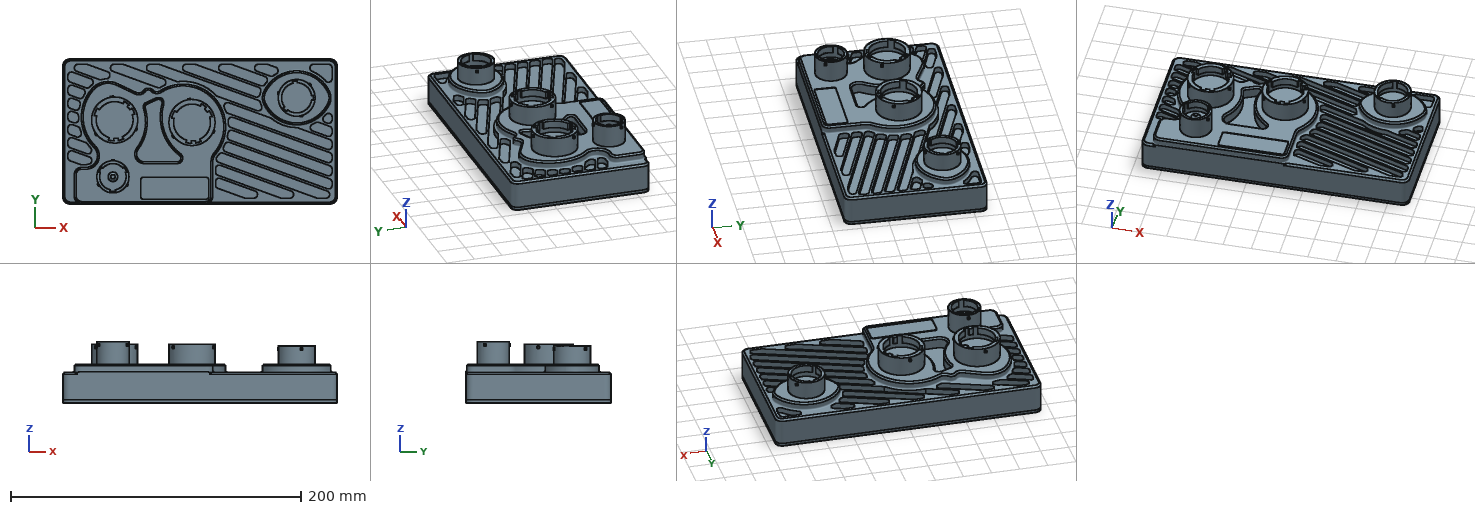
import cadquery as cq
import math

LENGTH = 189.0
WIDTH = 100.0
CORNER_RADIUS = 5.0
PLATE_THICKNESS = 2.4
PLATE_CHAMFER = 0.5
DECK_Z = 21.5
DECK_CHAMFER = 1.4
FRONT_Y = -WIDTH / 2
EDGE_SLACK = 0.1

PAD_HEIGHT = 5.5
PAD_Z = DECK_Z + PAD_HEIGHT
PAD_CHAMFER = 1.25
FOOT_RADIUS = 1.1
FOOT_MARGIN = 0.1
FOOT_REACH = FOOT_RADIUS + FOOT_MARGIN

PAD_LEFT = -86.6
PAD_RIGHT = 8.8
PAD_FRONT_INSET = 0.5
PAD_FRONT = FRONT_Y + PAD_FRONT_INSET
PAD_SHOULDER_Y = -24.7
PAD_CORNER_RADIUS = 5.0
LEFT_LOBE = (-52.4, 10.0)
LEFT_LOBE_RADIUS = 29.4
LEFT_CREST = (-63.3, 19.6)
RIGHT_LOBE = (-11.6, 3.4)
RIGHT_LOBE_RADIUS = 29.3
HOLLOW_RADIUS = 8.0
BUMP = (-35.6, 25.9)
BUMP_RADIUS = 4.0
DIP_RADIUS = 4.0
LEFT_DIP = (-42.2, 30.5)

OVAL_CENTER = (66.6, 23.2)
OVAL_HALF_WIDTH = 18.6
OVAL_HALF_LENGTH = 23.6
OVAL_NOSE_RADIUS = 10.0

WINDOW_FLOOR_Z = 19.0
WINDOW_CHAMFER = 1.2
WINDOW_FRONT_Y = -20.9
WINDOW_LEFT_ARC = ((-67.8, 6.7), 31.5)
WINDOW_RIGHT_ARC = ((5.7, 10.1), 33.1)
WINDOW_BACK_LEFT_Y = 18.0
WINDOW_BACK_RIGHT_Y = 24.5
WINDOW_CORNER_RADII = {"front left": 5.4, "front right": 2.5, "back right": 2.5, "back left": 2.0}

GROOVE_ANGLE = 20.0
GROOVE_PITCH = 8.5
RIB_WIDTH = 1.5
RIB_OFFSET = 9.75
GROOVE_DEPTH = 4.0
GROOVE_SIDE_MARGIN = 3.5
GROOVE_BACK_MARGIN = 3.7
GROOVE_FRONT_MARGIN = 4.1
GROOVE_PAD_GAP = 1.9
GROOVE_END_RADIUS = 2.5
FIRST_GROOVE = -7
LAST_GROOVE = 6
SMALLEST_GROOVE_AREA = 28.0

LABEL_LEFT = -40.8
LABEL_RIGHT = 5.9
LABEL_FRONT = -46.6
LABEL_BACK = -31.6
LABEL_CORNER_RADIUS = 1.5
LABEL_THICKNESS = 0.5

LIP_DEPTH = 5.0
CAVITY_DEPTH = 9.2
PIN_RADIUS = 0.9
PIN_DROP = 2.2
PIN_REACH = 0.7
PIN_ROOT = 1.0
PIN_COUNT = 3
LARGE_SOCKET = {
    "outer_radius": 15.9,
    "lip_radius": 12.7,
    "channel_radius": 14.4,
    "top": 40.8,
    "notches": [(146, 167), (253, 268), (280.5, 295), (17, 34), (47, 63)],
    "first_pin_angle": 97,
}
SMALL_SOCKET = {
    "outer_radius": 11.1,
    "lip_radius": 9.1,
    "channel_radius": 10.1,
    "top": 42.4,
    "notches": [(139, 161), (259, 281), (19, 41)],
    "first_pin_angle": 90,
}
OVAL_PAD_SOCKET = {
    "outer_radius": 12.7,
    "lip_radius": 10.4,
    "channel_radius": 11.6,
    "top": 39.6,
    "notches": [(88, 104), (217, 233), (-8, 8)],
    "first_pin_angle": 45,
}
SMALL_SOCKET_CENTER = (-60.0, -31.2)
SOCKETS = [
    ((-58.8, 7.9), LARGE_SOCKET),
    ((-5.5, 6.2), LARGE_SOCKET),
    (SMALL_SOCKET_CENTER, SMALL_SOCKET),
    (OVAL_CENTER, OVAL_PAD_SOCKET),
]

POST_RADIUS = 3.3
POST_HEIGHT = 5.0
POST_CHAMFER = 1.8


def polar(center, radius, degrees):
    angle = math.radians(degrees)
    return (center[0] + radius * math.cos(angle), center[1] + radius * math.sin(angle))


def toward(start, end, distance):
    """Point at a distance from start on the ray to end."""
    span = math.dist(start, end)
    return tuple(a + (b - a) * distance / span for a, b in zip(start, end))


def circles_meet(center_a, radius_a, center_b, radius_b):
    """Meeting point of two circles on the left of the line from a to b."""
    span = math.dist(center_a, center_b)
    along = (span**2 + radius_a**2 - radius_b**2) / (2 * span)
    across = math.sqrt(radius_a**2 - along**2)
    ux = (center_b[0] - center_a[0]) / span
    uy = (center_b[1] - center_a[1]) / span
    return (center_a[0] + along * ux - across * uy, center_a[1] + along * uy + across * ux)


def arc_to(sketch, center, start, end, clockwise):
    """Extend the sketch by the arc about center from start to end."""
    radius = math.dist(center, start)
    first = math.atan2(start[1] - center[1], start[0] - center[0])
    last = math.atan2(end[1] - center[1], end[0] - center[0])
    sweep = (first - last if clockwise else last - first) % (2 * math.pi)
    middle = first + (-sweep if clockwise else sweep) / 2
    return sketch.threePointArc(polar(center, radius, math.degrees(middle)), end)


def rounded_block(height, bottom):
    block = cq.Workplane().box(LENGTH, WIDTH, height, centered=(True, True, False))
    return block.edges("|Z").fillet(CORNER_RADIUS).translate((0, 0, bottom))


def main_pad_outline():
    """Closed outline, run clockwise from the left end of the front side."""
    corner = PAD_CORNER_RADIUS
    left_hollow_y = PAD_SHOULDER_Y + HOLLOW_RADIUS
    left_span = LEFT_LOBE_RADIUS + HOLLOW_RADIUS
    left_shift = math.sqrt(left_span**2 - (LEFT_LOBE[1] - left_hollow_y) ** 2)
    left_hollow = (LEFT_LOBE[0] - left_shift, left_hollow_y)

    crest_radius = LEFT_LOBE_RADIUS - math.dist(LEFT_LOBE, LEFT_CREST)
    run_tilt = math.degrees(math.acos((crest_radius + DIP_RADIUS) / math.dist(LEFT_CREST, LEFT_DIP)))
    run_heading = math.degrees(math.atan2(LEFT_DIP[1] - LEFT_CREST[1], LEFT_DIP[0] - LEFT_CREST[0]))
    run_normal = run_heading + run_tilt
    run_start = polar(LEFT_CREST, crest_radius, run_normal)
    run_end = polar(LEFT_DIP, -DIP_RADIUS, run_normal)

    right_dip = circles_meet(BUMP, BUMP_RADIUS + DIP_RADIUS, RIGHT_LOBE, RIGHT_LOBE_RADIUS + DIP_RADIUS)
    bump_start = toward(BUMP, LEFT_DIP, BUMP_RADIUS)
    bump_end = toward(BUMP, right_dip, BUMP_RADIUS)
    right_start = toward(RIGHT_LOBE, right_dip, RIGHT_LOBE_RADIUS)

    right_span = RIGHT_LOBE_RADIUS + HOLLOW_RADIUS
    right_hollow_x = PAD_RIGHT + HOLLOW_RADIUS
    right_drop = math.sqrt(right_span**2 - (right_hollow_x - RIGHT_LOBE[0]) ** 2)
    right_hollow = (right_hollow_x, RIGHT_LOBE[1] - right_drop)

    left_start = toward(LEFT_LOBE, left_hollow, LEFT_LOBE_RADIUS)
    left_end = toward(LEFT_LOBE, LEFT_CREST, LEFT_LOBE_RADIUS)
    right_end = toward(RIGHT_LOBE, right_hollow, RIGHT_LOBE_RADIUS)
    outline = (
        cq.Workplane()
        .moveTo(PAD_LEFT + corner, PAD_FRONT)
        .radiusArc((PAD_LEFT, PAD_FRONT + corner), corner)
        .lineTo(PAD_LEFT, PAD_SHOULDER_Y - corner)
        .radiusArc((PAD_LEFT + corner, PAD_SHOULDER_Y), corner)
        .lineTo(left_hollow[0], PAD_SHOULDER_Y)
    )
    outline = arc_to(outline, left_hollow, (left_hollow[0], PAD_SHOULDER_Y), left_start, clockwise=False)
    outline = arc_to(outline, LEFT_LOBE, left_start, left_end, clockwise=True)
    outline = arc_to(outline, LEFT_CREST, left_end, run_start, clockwise=True)
    outline = outline.lineTo(*run_end)
    outline = arc_to(outline, LEFT_DIP, run_end, bump_start, clockwise=False)
    outline = arc_to(outline, BUMP, bump_start, bump_end, clockwise=True)
    outline = arc_to(outline, right_dip, bump_end, right_start, clockwise=False)
    outline = arc_to(outline, RIGHT_LOBE, right_start, right_end, clockwise=True)
    outline = arc_to(outline, right_hollow, right_end, (PAD_RIGHT, right_hollow[1]), clockwise=False)
    return (
        outline.lineTo(PAD_RIGHT, PAD_FRONT + corner)
        .radiusArc((PAD_RIGHT - corner, PAD_FRONT), corner)
        .close()
    )


def oval_pad_outline():
    """Oval of two broad side arcs running tangent into two tighter nose arcs."""
    nose_offset = OVAL_HALF_LENGTH - OVAL_NOSE_RADIUS
    slack = OVAL_HALF_WIDTH - OVAL_NOSE_RADIUS
    side_radius = (nose_offset**2 + OVAL_HALF_WIDTH**2 - OVAL_NOSE_RADIUS**2) / (2 * slack)
    tilt = math.degrees(math.atan2(side_radius - OVAL_HALF_WIDTH, nose_offset))
    x, y = OVAL_CENTER
    right_nose = (x + nose_offset, y)
    left_nose = (x - nose_offset, y)
    return (
        cq.Workplane()
        .moveTo(*polar(left_nose, OVAL_NOSE_RADIUS, 180 - tilt))
        .threePointArc((x, y + OVAL_HALF_WIDTH), polar(right_nose, OVAL_NOSE_RADIUS, tilt))
        .threePointArc((x + OVAL_HALF_LENGTH, y), polar(right_nose, OVAL_NOSE_RADIUS, -tilt))
        .threePointArc((x, y - OVAL_HALF_WIDTH), polar(left_nose, OVAL_NOSE_RADIUS, tilt - 180))
        .threePointArc((x - OVAL_HALF_LENGTH, y), polar(left_nose, OVAL_NOSE_RADIUS, 180 - tilt))
        .close()
    )


def prism(outline, bottom, height, growth=0.0):
    """Solid standing on the outline drawn by the given function, grown outward all round."""
    shape = outline()
    if growth:
        shape = shape.offset2D(growth)
    return shape.extrude(height).translate((0, 0, bottom))


def window():
    def left_x(y):
        (cx, cy), radius = WINDOW_LEFT_ARC
        return cx + math.sqrt(radius**2 - (y - cy) ** 2)

    def right_x(y):
        (cx, cy), radius = WINDOW_RIGHT_ARC
        return cx - math.sqrt(radius**2 - (y - cy) ** 2)

    front_left = (left_x(WINDOW_FRONT_Y), WINDOW_FRONT_Y)
    front_right = (right_x(WINDOW_FRONT_Y), WINDOW_FRONT_Y)
    back_right = (right_x(WINDOW_BACK_RIGHT_Y), WINDOW_BACK_RIGHT_Y)
    back_left = (left_x(WINDOW_BACK_LEFT_Y), WINDOW_BACK_LEFT_Y)
    outline = cq.Workplane().workplane(offset=WINDOW_FLOOR_Z).moveTo(*front_left).lineTo(*front_right)
    outline = arc_to(outline, WINDOW_RIGHT_ARC[0], front_right, back_right, clockwise=True)
    outline = outline.lineTo(*back_left)
    outline = arc_to(outline, WINDOW_LEFT_ARC[0], back_left, front_left, clockwise=True).close()
    cutter = outline.extrude(PAD_Z - WINDOW_FLOOR_Z)
    corners = {
        "front left": front_left,
        "front right": front_right,
        "back right": back_right,
        "back left": back_left,
    }
    for name, corner in corners.items():
        middle = (*corner, (PAD_Z + WINDOW_FLOOR_Z) / 2)
        cutter = cutter.edges(cq.selectors.NearestToPointSelector(middle)).fillet(WINDOW_CORNER_RADII[name])
    return cutter


def groove_cutters():
    field_length = LENGTH - 2 * GROOVE_SIDE_MARGIN
    field_width = WIDTH - GROOVE_FRONT_MARGIN - GROOVE_BACK_MARGIN
    field = cq.Workplane().box(field_length, field_width, GROOVE_DEPTH, centered=(True, False, False))
    field = field.translate((0, FRONT_Y + GROOVE_FRONT_MARGIN, 0))
    for outline in (main_pad_outline, oval_pad_outline):
        field = field.cut(prism(outline, 0, GROOVE_DEPTH, GROOVE_PAD_GAP))
    cutters = []
    for index in range(FIRST_GROOVE, LAST_GROOVE + 1):
        pitches = 2 if index == LAST_GROOVE else 1
        strip = (
            cq.Workplane()
            .center(0, (index + pitches / 2) * GROOVE_PITCH)
            .rect(2 * LENGTH, pitches * GROOVE_PITCH - RIB_WIDTH)
            .extrude(GROOVE_DEPTH)
            .rotate((0, 0, 0), (0, 0, 1), -GROOVE_ANGLE)
            .translate((0, RIB_OFFSET, 0))
        )
        for piece in strip.intersect(field).solids().vals():
            cutters.extend(rounded_groove(piece))
    return cutters


def rounded_groove(piece):
    """Groove cutters with rounded ends, made by shrinking a plan shape and growing it again."""
    floor = cq.Workplane(piece).faces("<Z").wires().val()
    try:
        cores = floor.offset2D(-GROOVE_END_RADIUS)
    except ValueError:
        return []
    grooves = []
    for core in cores:
        plan = cq.Face.makeFromWires(core.offset2D(GROOVE_END_RADIUS)[0])
        if plan.Area() > SMALLEST_GROOVE_AREA:
            grooves.append(cq.Workplane(cq.Solid.extrudeLinear(plan, cq.Vector(0, 0, GROOVE_DEPTH))))
    if len(cores) > 1:
        middles = [core.Center().x for core in cores]
        span = max(middles) - min(middles)
        passage = cq.Workplane().box(span, 2 * WIDTH, 2 * GROOVE_DEPTH)
        passage = passage.translate((min(middles) + span / 2, 0, 0))
        grooves.append(cq.Workplane(piece).intersect(passage))
    return grooves


def ring_sector(center, radius, span, height):
    first, last = span
    reach = 2 * radius
    wedge = cq.Workplane().polyline([center, polar(center, reach, first), polar(center, reach, last)]).close()
    return cq.Workplane().center(*center).circle(radius).extrude(height).intersect(wedge.extrude(height))


def add_socket(body, center, outer_radius, lip_radius, channel_radius, top, notches, first_pin_angle):
    def disc(radius, bottom, height):
        return cq.Workplane().circle(radius).extrude(height).translate((*center, bottom))

    body = body.union(disc(outer_radius, DECK_Z, top - DECK_Z))
    body = body.cut(disc(lip_radius, top - LIP_DEPTH, LIP_DEPTH))
    body = body.cut(disc(channel_radius, top - CAVITY_DEPTH, CAVITY_DEPTH - LIP_DEPTH))
    for span in notches:
        notch = ring_sector(center, channel_radius, span, LIP_DEPTH)
        body = body.cut(notch.translate((0, 0, top - LIP_DEPTH)))
    for index in range(PIN_COUNT):
        pin_angle = first_pin_angle + index * 360 / PIN_COUNT
        root = cq.Vector(*polar(center, outer_radius - PIN_ROOT, pin_angle), top - PIN_DROP)
        outward = cq.Vector(*polar((0, 0), 1, pin_angle), 0)
        pin = cq.Solid.makeCylinder(PIN_RADIUS, PIN_ROOT + PIN_REACH, root, outward)
        body = body.union(cq.Workplane(pin))
    return body


def socket_post():
    post = cq.Workplane().circle(POST_RADIUS).extrude(POST_HEIGHT).faces(">Z").edges().chamfer(POST_CHAMFER)
    return post.translate((*SMALL_SOCKET_CENTER, SMALL_SOCKET["top"] - CAVITY_DEPTH))


def edges_between(low, high):
    return cq.selectors.BoxSelector(low, high, boundingbox=True)


def raised_pads():
    """Pads with filleted feet, each on the patch of block it springs from."""
    outlines = [main_pad_outline, oval_pad_outline]
    root = 2 * DECK_CHAMFER
    slab = cq.Workplane().box(2 * LENGTH, 2 * WIDTH, root, centered=(True, True, False))
    slab = slab.translate((0, 0, DECK_Z - root))
    for outline in outlines:
        slab = slab.union(prism(outline, DECK_Z, PAD_HEIGHT))
    feet = edges_between(
        (-LENGTH / 2, -WIDTH / 2, DECK_Z - EDGE_SLACK), (LENGTH / 2, WIDTH / 2, DECK_Z + EDGE_SLACK)
    )
    slab = slab.edges(feet).fillet(FOOT_RADIUS)
    slab = slab.faces(">Z").edges().chamfer(PAD_CHAMFER)
    slab = slab.intersect(rounded_block(PAD_Z, 0))
    reaches = [prism(outline, DECK_Z - root, PAD_HEIGHT + root, FOOT_REACH) for outline in outlines]
    return [slab.intersect(reach) for reach in reaches]


def cut_window(body):
    window_left = WINDOW_LEFT_ARC[0][0]
    window_right = WINDOW_RIGHT_ARC[0][0]
    rim = edges_between(
        (window_left, WINDOW_FRONT_Y - EDGE_SLACK, PAD_Z - EDGE_SLACK),
        (window_right, WINDOW_BACK_RIGHT_Y + EDGE_SLACK, PAD_Z + EDGE_SLACK),
    )
    return body.cut(window()).edges(rim).chamfer(WINDOW_CHAMFER)


def make_housing():
    body = rounded_block(DECK_Z - PLATE_THICKNESS, PLATE_THICKNESS).faces(">Z").edges().chamfer(DECK_CHAMFER)
    for pad in raised_pads():
        body = body.union(pad)
    for groove in groove_cutters():
        body = body.cut(groove.translate((0, 0, DECK_Z - GROOVE_DEPTH)))
    body = cut_window(body)
    for center, sizes in SOCKETS:
        body = add_socket(body, center, **sizes)
    body = body.union(socket_post())
    return body.cut(make_label())


def make_base_plate():
    return rounded_block(PLATE_THICKNESS, 0).faces("<Z").edges().chamfer(PLATE_CHAMFER)


def make_label():
    label = cq.Workplane().box(
        LABEL_RIGHT - LABEL_LEFT, LABEL_BACK - LABEL_FRONT, LABEL_THICKNESS, centered=False
    )
    label = label.edges("|Z").fillet(LABEL_CORNER_RADIUS)
    return label.translate((LABEL_LEFT, LABEL_FRONT, PAD_Z - LABEL_THICKNESS))


housing = make_housing()
base_plate = make_base_plate()
label = make_label()

result = cq.Compound.makeCompound([housing.val(), base_plate.val(), label.val()])